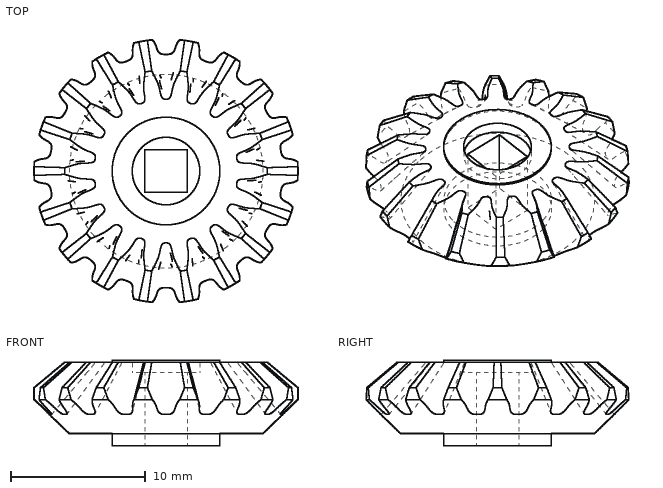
import cadquery as cq
import math

outer_radius = 9.8
rim_bottom_z = 3.43
rim_top_z = 4.31
top_face_radius = 7.5
top_face_z = 6.21
bottom_face_radius = 7.2
bottom_face_z = 0.9

hub_radius = 4.0
hub_height = 6.35
square_bore = 3.14
counterbore_radius = 2.5
counterbore_depth = 0.9

tooth_count = 18
tip_half_land_angle = 1.9
root_radius = 5.33
cutter_overrun = 0.78

gap_wall = [
    (5.39, 0.24),
    (5.57, 0.35),
    (5.95, 0.45),
    (6.4, 0.57),
    (6.78, 0.73),
]

tip_cone_slope = (top_face_z - rim_top_z) / (outer_radius - top_face_radius)
apex_z = rim_top_z + outer_radius * tip_cone_slope
pitch_angle = 360.0 / tooth_count


def make_blank():
    """Revolve the hub and the double-cone gear body about Z."""
    return (
        cq.Workplane("XZ")
        .lineTo(hub_radius, 0)
        .lineTo(hub_radius, bottom_face_z)
        .lineTo(bottom_face_radius, bottom_face_z)
        .lineTo(outer_radius, rim_bottom_z)
        .lineTo(outer_radius, rim_top_z)
        .lineTo(top_face_radius, top_face_z)
        .lineTo(hub_radius, top_face_z)
        .lineTo(hub_radius, hub_height)
        .lineTo(0, hub_height)
        .close()
        .revolve(360, (0, 0, 0), (0, 1, 0))
    )


def gap_section(z):
    """Outline of the tooth gap along +X at height z, scaled towards the apex."""
    scale = (apex_z - z) / (apex_z - top_face_z)
    tip_angle = math.radians(pitch_angle / 2 - tip_half_land_angle)
    tip = (top_face_radius * math.cos(tip_angle), top_face_radius * math.sin(tip_angle))

    upper_flank = gap_wall[-1]
    opening = (tip[1] - upper_flank[1]) / (tip[0] - upper_flank[0])
    outer = (tip[0] + cutter_overrun, tip[1] + cutter_overrun * opening)

    def point(position, side):
        radial, half_width = position
        return cq.Vector(radial * scale, side * half_width * scale, z)

    wall = gap_wall + [tip]
    left_wall = [point(position, 1) for position in reversed(wall)]
    right_wall = [point(position, -1) for position in wall]
    floor = point((root_radius, 0), 1)
    left_outer = point(outer, 1)
    right_outer = point(outer, -1)
    return cq.Wire.assembleEdges([
        cq.Edge.makeLine(left_outer, left_wall[0]),
        cq.Edge.makeSpline(left_wall + [floor] + right_wall),
        cq.Edge.makeLine(right_wall[-1], right_outer),
        cq.Edge.makeLine(right_outer, left_outer),
    ])


def cut_teeth(blank):
    """Cut the tapering gaps, leaving a tooth centred on +X."""
    gap = cq.Solid.makeLoft([gap_section(0), gap_section(hub_height)], True)
    origin = cq.Vector(0, 0, 0)
    z_axis = cq.Vector(0, 0, 1)
    gear = blank
    for index in range(tooth_count):
        gear = gear.cut(cq.Workplane(gap.rotate(origin, z_axis, (index + 0.5) * pitch_angle)))
    return gear


def cut_bore(gear):
    """Cut the square through bore and the round counterbore in the top of the hub."""
    bore = cq.Workplane("XY").rect(square_bore, square_bore).extrude(hub_height)
    counterbore = (
        cq.Workplane("XY", origin=(0, 0, hub_height))
        .circle(counterbore_radius)
        .extrude(-counterbore_depth)
    )
    return gear.cut(bore).cut(counterbore)


result = cut_bore(cut_teeth(make_blank()))